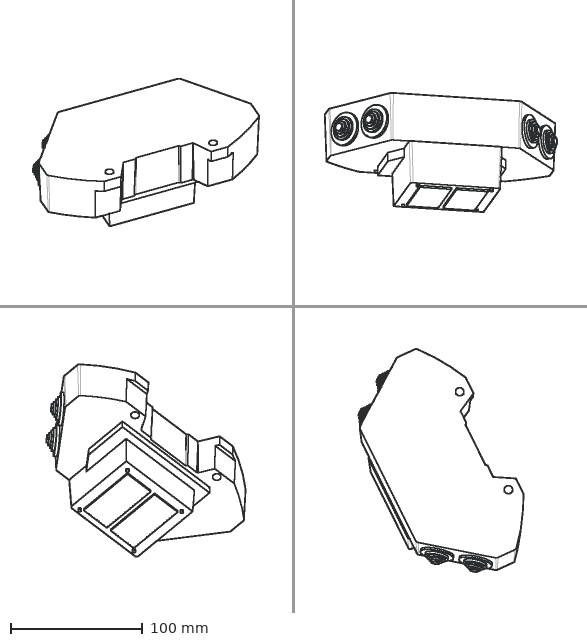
import math

import cadquery as cq

DRAFT = 2.0

LENGTH = 176.0
WIDTH = 90.0
HOUSING_BOTTOM = -37.1
CORNER_RADIUS = 2.8
BACK_HALF = 50.3
END_BACK_X = 49.6
END_FRONT_X = 65.8
ARC_MID = (80.6, 68.1)
LUG_OUTER_Y = 51.2
LUG_INNER_Y = 37.3
NOTCH_X = 75.0
NOTCH_HALF = 28.9
RECESS_X = 73.7
RECESS_HALF = 17.6
RECESS_CHAMFER = NOTCH_X - RECESS_X

LUG_THICKNESS = 10.0
LUG_OVERHANG = 3.3
HOLE_DIAMETER = 6.3
HOLE_X = 81.0
HOLE_Y = 43.0

FLANGE_BOTTOM = -44.0
FLANGE_FRONT_X = 70.0
FLANGE_BACK_X = 33.0
FLANGE_HALF = 45.8
FLANGE_OVERLAP = 1.8

BOX_BACK_X = 0.4
BOX_FRONT_X = 64.0
BOX_HALF = 36.0
BOX_BOTTOM = -70.0
BOX_CORNER_RADIUS = 1.8

FOOT_BOTTOM = -71.5
PAD_BACK_X = 7.2
PAD_FRONT_X = 55.5
PAD_INNER_Y = 2.0
PAD_OUTER_Y = 26.4
PIN_DIAMETER = 2.5
PIN_INSET = 2.1

GROMMET_TIERS = [(25.5, 2.0), (17.8, 3.9), (13.9, 5.3), (9.9, 6.9), (6.2, 8.3)]
GROMMET_Z = -19.5
GROMMET_SPACING = 30.0
GROMMET_ROOT = 1.8

SLANT_X = END_BACK_X
SLANT_Y = LENGTH / 2 - BACK_HALF
SLANT_LENGTH = math.hypot(SLANT_X, SLANT_Y)


def drafted_inset(depth):
    """How far a leaning wall has moved inwards at a given depth."""
    return depth * math.tan(math.radians(DRAFT))


def make_housing():
    outline = (
        cq.Workplane("XY")
        .moveTo(0, -BACK_HALF)
        .lineTo(END_BACK_X, -LENGTH / 2)
        .lineTo(END_FRONT_X, -LENGTH / 2)
        .threePointArc((ARC_MID[0], -ARC_MID[1]), (WIDTH, -LUG_OUTER_Y))
        .lineTo(WIDTH, -LUG_INNER_Y)
        .lineTo(NOTCH_X, -NOTCH_HALF)
        .lineTo(NOTCH_X, -RECESS_HALF - RECESS_CHAMFER)
        .lineTo(RECESS_X, -RECESS_HALF)
        .lineTo(RECESS_X, RECESS_HALF)
        .lineTo(NOTCH_X, RECESS_HALF + RECESS_CHAMFER)
        .lineTo(NOTCH_X, NOTCH_HALF)
        .lineTo(WIDTH, LUG_INNER_Y)
        .lineTo(WIDTH, LUG_OUTER_Y)
        .threePointArc(ARC_MID, (END_FRONT_X, LENGTH / 2))
        .lineTo(END_BACK_X, LENGTH / 2)
        .lineTo(0, BACK_HALF)
        .close()
    )
    corner_zone = cq.selectors.BoxSelector((-1.8, -LENGTH, -1.8), ((END_FRONT_X + RECESS_X) / 2, LENGTH, 1.8))
    rounded = (
        cq.Sketch()
        .face(outline.val())
        .vertices(corner_zone)
        .fillet(CORNER_RADIUS)
    )
    body = cq.Workplane("XY").placeSketch(rounded).extrude(HOUSING_BOTTOM, taper=DRAFT)

    step_x = WIDTH - LUG_OVERHANG
    foot_x = step_x - drafted_inset(-HOUSING_BOTTOM - LUG_THICKNESS)
    below_lugs = (
        cq.Workplane("XZ")
        .polyline([
            (step_x, -LUG_THICKNESS),
            (WIDTH, -LUG_THICKNESS),
            (WIDTH, HOUSING_BOTTOM),
            (foot_x, HOUSING_BOTTOM),
        ])
        .close()
        .extrude(LENGTH / 2, both=True)
    )
    return body.cut(below_lugs)


def make_flange():
    """Plate whose back corners run parallel to the slanted housing walls."""
    slant_end_y = BOX_HALF - FLANGE_OVERLAP
    slant_end_x = FLANGE_BACK_X - (FLANGE_HALF - slant_end_y) * SLANT_X / SLANT_Y
    half = [(slant_end_x, slant_end_y), (FLANGE_BACK_X, FLANGE_HALF), (FLANGE_FRONT_X, FLANGE_HALF)]
    other_half = [(x, -y) for x, y in reversed(half)]
    return (
        cq.Workplane("XY")
        .workplane(offset=HOUSING_BOTTOM)
        .polyline(half + other_half)
        .close()
        .extrude(FLANGE_BOTTOM - HOUSING_BOTTOM)
    )


def make_lower_box():
    centre_x = (BOX_BACK_X + BOX_FRONT_X) / 2
    return (
        cq.Workplane("XY")
        .workplane(offset=HOUSING_BOTTOM)
        .center(centre_x, 0)
        .rect(BOX_FRONT_X - BOX_BACK_X, 2 * BOX_HALF)
        .extrude(BOX_BOTTOM - HOUSING_BOTTOM, taper=DRAFT)
        .faces("<X")
        .edges("not #Z")
        .fillet(BOX_CORNER_RADIUS)
    )


def make_feet():
    base = cq.Workplane("XY").workplane(offset=BOX_BOTTOM)
    height = FOOT_BOTTOM - BOX_BOTTOM
    pad_x = (PAD_BACK_X + PAD_FRONT_X) / 2
    pad_y = (PAD_INNER_Y + PAD_OUTER_Y) / 2
    pads = (
        base.pushPoints([(pad_x, -pad_y), (pad_x, pad_y)])
        .rect(PAD_FRONT_X - PAD_BACK_X, PAD_OUTER_Y - PAD_INNER_Y)
        .extrude(height)
    )
    pin_y = PAD_OUTER_Y + PIN_INSET
    pin_places = [
        (x, y)
        for x in (PAD_BACK_X - PIN_INSET, PAD_FRONT_X + PIN_INSET)
        for y in (-pin_y, pin_y)
    ]
    pins = base.pushPoints(pin_places).circle(PIN_DIAMETER / 2).extrude(height)
    return pads.union(pins)


def make_grommet(along, side):
    """Stack of discs at a distance along the slanted wall; side is -1 or +1 in Y."""
    normal_x = -SLANT_Y / SLANT_LENGTH
    normal_y = SLANT_X / SLANT_LENGTH
    inset = drafted_inset(-GROMMET_Z)
    x = along * SLANT_X / SLANT_LENGTH - inset * normal_x
    y = BACK_HALF + along * SLANT_Y / SLANT_LENGTH - inset * normal_y
    wall = cq.Plane(
        origin=(x, side * y, GROMMET_Z),
        xDir=(0, 0, 1),
        normal=(normal_x, side * normal_y, 0),
    )
    sunk_base = cq.Workplane(wall).workplane(offset=-GROMMET_ROOT)
    grommet = cq.Workplane(wall)
    for diameter, height in GROMMET_TIERS:
        tier = sunk_base.circle(diameter / 2).extrude(height + GROMMET_ROOT)
        grommet = grommet.add(tier)
    return grommet.combine()


result = make_housing().union(make_flange()).union(make_lower_box()).union(make_feet())

for side in (-1, 1):
    for offset in (-GROMMET_SPACING / 2, GROMMET_SPACING / 2):
        result = result.union(make_grommet(SLANT_LENGTH / 2 + offset, side))

mounting_holes = (
    cq.Workplane("XY")
    .pushPoints([(HOLE_X, -HOLE_Y), (HOLE_X, HOLE_Y)])
    .circle(HOLE_DIAMETER / 2)
    .extrude(HOUSING_BOTTOM)
)
result = result.cut(mounting_holes)